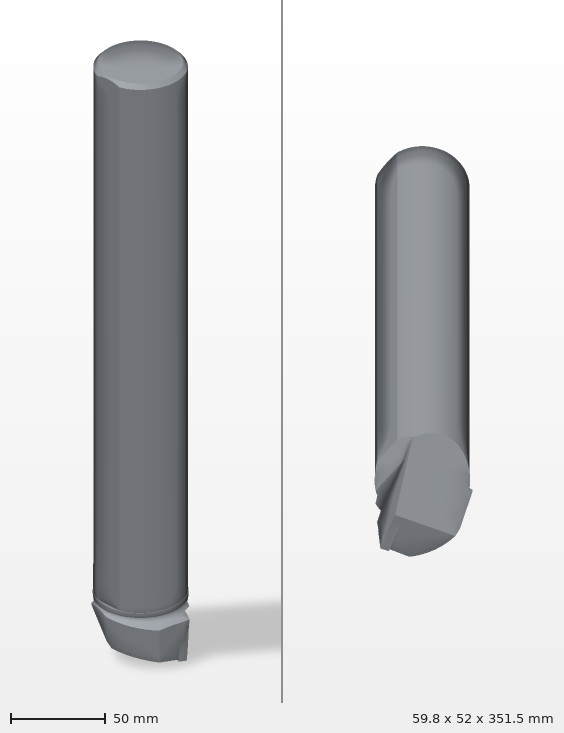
import cadquery as cq
import math

LENGTH = 351.5
SHANK_RADIUS = 25.0
NECK_RADIUS = 25.3
CHAMFER = 2.5
OVERSIZE = 140.5

SIDE_FLAT = 23.5
NECK_TOP = 29.0

FACET_START = (-12.3, -24.3)
ARC_START = (3.5, -28.5)
ARC_MIDDLE = (21.5, -23.5)
ARC_END = (30.5, -15.8)
FLANK_END = (33.5, 0.0)
FLANK_TOP = (33.5, 7.0)
SHOULDER_HEIGHT = 26.5
SHOULDER_SLOPE = 0.36
CONE_RADIUS = 49.2

HEEL_HEIGHT = 35.5
HEEL_ANGLE = 41.0

CLEARANCE_HEIGHT = 0.7
CLEARANCE_ANGLE = 9.5
CLEARANCE_TILT = 4.5

TIP = (34.8, 0.5, 0.0)
RAKE_TURN = 17.0
RAKE_LEAN = 7.0
ROOF_Y = 15.5
ROOF_HEIGHT = 25.3
ROOF_ANGLE = 42.0

INSERT_SIDE = 15.8
INSERT_THICKNESS = 5.0
INSERT_CORNER = 80.0
INSERT_TILT = 4.0


def rake_plane():
    """Plane at the tip: local x runs from the tip into the head, normal faces out of the rake."""
    turn = math.radians(RAKE_TURN)
    lean = math.radians(RAKE_LEAN)
    normal = (math.sin(turn) * math.cos(lean), math.cos(turn) * math.cos(lean), -math.sin(lean))
    inward = (-math.cos(turn), math.sin(turn), 0)
    return cq.Plane(origin=TIP, xDir=inward, normal=normal)


def make_shank():
    shank = cq.Workplane("XY").circle(SHANK_RADIUS).extrude(LENGTH).faces(">Z").chamfer(CHAMFER)
    for side in (-1, 1):
        flat = cq.Workplane("XY").box(OVERSIZE, OVERSIZE, LENGTH, centered=(True, True, False))
        shank = shank.cut(flat.translate((0, side * (SIDE_FLAT + OVERSIZE / 2), NECK_TOP)))
    return shank.union(cq.Workplane("XY").circle(NECK_RADIUS).extrude(NECK_TOP))


def make_head():
    head = (
        cq.Workplane("XY")
        .moveTo(*FACET_START)
        .lineTo(*ARC_START)
        .threePointArc(ARC_MIDDLE, ARC_END)
        .lineTo(*FLANK_END)
        .lineTo(*FLANK_TOP)
        .lineTo(0, SIDE_FLAT)
        .close()
        .extrude(LENGTH)
    )
    apex = SHOULDER_HEIGHT + SHOULDER_SLOPE * NECK_RADIUS
    rim = apex - SHOULDER_SLOPE * CONE_RADIUS
    cone = (
        cq.Workplane("XZ")
        .polyline([(0, 0), (CONE_RADIUS, 0), (CONE_RADIUS, rim), (0, apex)])
        .close()
        .revolve(360, (0, 0, 0), (0, 1, 0))
    )
    return head.intersect(cone)


def heel_relief():
    block = cq.Workplane("XY").box(2 * OVERSIZE, OVERSIZE, OVERSIZE)
    block = block.translate((0, 0, -OVERSIZE / 2)).rotate((0, 0, 0), (0, 1, 0), HEEL_ANGLE)
    return block.translate((-SHANK_RADIUS, 0, HEEL_HEIGHT))


def bottom_clearance():
    block = cq.Workplane("XY").box(OVERSIZE, OVERSIZE, OVERSIZE)
    block = block.translate((0, 0, -OVERSIZE / 2)).rotate((0, 0, 0), (1, 0, 0), -CLEARANCE_ANGLE)
    block = block.rotate((0, 0, 0), (0, 1, 0), CLEARANCE_TILT)
    return block.translate((FLANK_END[0], FLANK_END[1], CLEARANCE_HEIGHT))


def chip_space():
    front = cq.Workplane(rake_plane()).rect(2 * OVERSIZE, 2 * OVERSIZE).extrude(OVERSIZE)
    roof_rise = OVERSIZE * math.tan(math.radians(ROOF_ANGLE))
    below_roof = (
        cq.Workplane("YZ")
        .moveTo(-OVERSIZE, -OVERSIZE)
        .lineTo(-OVERSIZE, ROOF_HEIGHT)
        .lineTo(ROOF_Y, ROOF_HEIGHT)
        .lineTo(ROOF_Y + OVERSIZE, ROOF_HEIGHT + roof_rise)
        .lineTo(ROOF_Y + OVERSIZE, -OVERSIZE)
        .close()
        .extrude(OVERSIZE, both=True)
    )
    return front.intersect(below_roof)


def make_insert():
    lower = math.radians(INSERT_TILT)
    upper = math.radians(INSERT_TILT + INSERT_CORNER)
    along = (INSERT_SIDE * math.cos(lower), INSERT_SIDE * math.sin(lower))
    up = (INSERT_SIDE * math.cos(upper), INSERT_SIDE * math.sin(upper))
    far = (along[0] + up[0], along[1] + up[1])
    return cq.Workplane(rake_plane()).polyline([(0, 0), along, far, up]).close().extrude(-INSERT_THICKNESS)


insert = make_insert()
bar = make_shank().union(make_head())
bar = bar.cut(heel_relief()).cut(bottom_clearance()).cut(chip_space()).cut(insert)

result = cq.Compound.makeCompound([bar.val(), insert.val()])